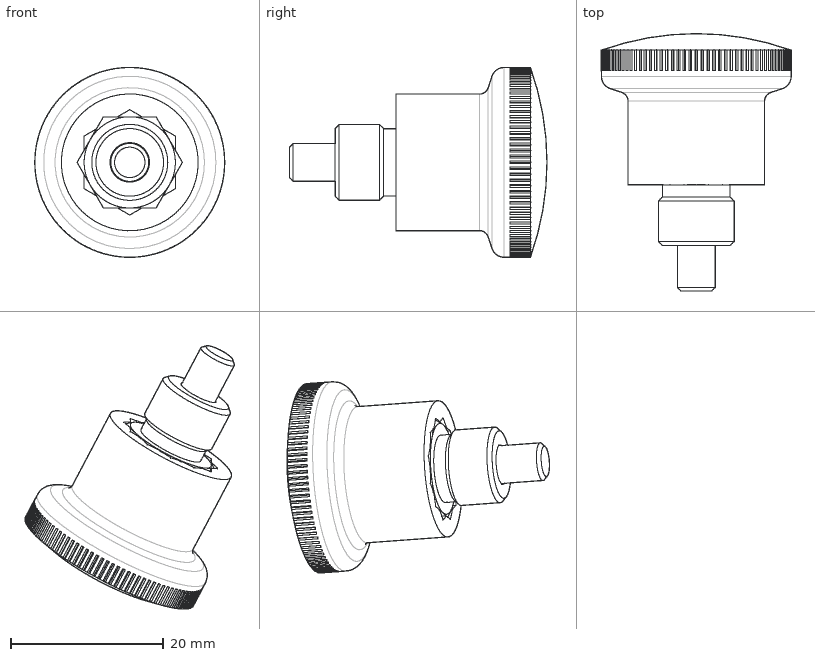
import cadquery as cq
import math


KNOB_RADIUS = 12.5
HUB_RADIUS = 9.0
DOME_HEIGHT = 2.2
APEX_Y = 19.9
RIM_TOP_Y = APEX_Y - DOME_HEIGHT
HUB_BLEND_Y = 11.0
RIM_BLEND_Y = 14.25
HUB_BLEND_RADIUS = 1.2
RIM_BLEND_RADIUS = 1.7
UNDERSIDE_SLOPE = math.radians(18.2)

GROOVE_COUNT = 100
GROOVE_WIDTH = 0.36
GROOVE_DEPTH = GROOVE_WIDTH / 2
GROOVE_LENGTH = 2.65
GROOVE_END_Y = RIM_TOP_Y - GROOVE_LENGTH

HEX_ACROSS_FLATS = 12.0
HEX_CORNER_DIAMETER = HEX_ACROSS_FLATS / math.cos(math.pi / 6)
HEX_HEIGHT = 6.0
SOCKET_TURNS = (0, 30)
HEX_CHAMFER_ANGLE = math.radians(30)

THREAD_RADIUS = 5.0
NECK_RADIUS = 4.45
THREAD_CHAMFER = THREAD_RADIUS - NECK_RADIUS
NECK_LENGTH = 1.6
SLEEVE_LENGTH = 8.0

PIN_RADIUS = 2.5
PIN_CHAMFER = 0.5
PIN_TIP_Y = -14.0
BORE_CLEARANCE = 0.1
BORE_RADIUS = PIN_RADIUS + BORE_CLEARANCE


def along_y(y):
    """Workplane across the Y axis at height y, extruding towards +Y."""
    return cq.Workplane(cq.Plane(origin=(0, y, 0), xDir=(1, 0, 0), normal=(0, 1, 0)))


def revolve_about_y(profile):
    """Turn a closed profile in the XY plane fully around the Y axis."""
    return profile.revolve(360, (0, 0, 0), (0, 1, 0))


def blend_point(center, radius, angle):
    """Point on a blend circle at the given angle from +X."""
    return (center[0] + radius * math.cos(angle), center[1] + radius * math.sin(angle))


def hex_prism(y, height, turn=0):
    """Hexagonal prism with corners on the X axis, turned by an angle in degrees."""
    prism = along_y(y).polygon(6, HEX_CORNER_DIAMETER).extrude(height)
    return prism.rotate((0, 0, 0), (0, 1, 0), turn)


def knob_blank():
    """Turned knob: hub, two blends joined by a cone, rim and domed cap."""
    hub_center = (HUB_RADIUS + HUB_BLEND_RADIUS, HUB_BLEND_Y)
    rim_center = (KNOB_RADIUS - RIM_BLEND_RADIUS, RIM_BLEND_Y)
    swing = math.pi / 2 - UNDERSIDE_SLOPE
    hub_arc = [blend_point(hub_center, HUB_BLEND_RADIUS, math.pi - swing * part) for part in (0.5, 1)]
    rim_arc = [blend_point(rim_center, RIM_BLEND_RADIUS, -swing * part) for part in (1, 0.5)]
    dome_radius = (KNOB_RADIUS**2 + DOME_HEIGHT**2) / (2 * DOME_HEIGHT)
    profile = (
        cq.Workplane("XY")
        .lineTo(HUB_RADIUS, 0)
        .lineTo(HUB_RADIUS, HUB_BLEND_Y)
        .threePointArc(*hub_arc)
        .lineTo(*rim_arc[0])
        .threePointArc(rim_arc[1], (KNOB_RADIUS, RIM_BLEND_Y))
        .lineTo(KNOB_RADIUS, RIM_TOP_Y)
        .radiusArc((0, APEX_Y), -dome_radius)
        .close()
    )
    return revolve_about_y(profile)


def knurl_grooves():
    """All V grooves of the rim, equally spaced and open towards the dome."""
    overshoot = 0.1
    outer_radius = KNOB_RADIUS + overshoot
    half_width = GROOVE_WIDTH / 2 * (GROOVE_DEPTH + overshoot) / GROOVE_DEPTH
    groove = (
        along_y(GROOVE_END_Y)
        .moveTo(0, KNOB_RADIUS - GROOVE_DEPTH)
        .lineTo(half_width, outer_radius)
        .lineTo(-half_width, outer_radius)
        .close()
        .extrude(APEX_Y - GROOVE_END_Y)
        .val()
    )
    pitch = 360 / GROOVE_COUNT
    return [groove.rotate(cq.Vector(0, 0, 0), cq.Vector(0, 1, 0), pitch * i) for i in range(GROOVE_COUNT)]


def make_knob():
    """Knurled knob with its twelve-point socket and the fixed locking pin."""
    knob = knob_blank()
    knob = cq.Workplane(knob.val().cut(*knurl_grooves()))
    for turn in SOCKET_TURNS:
        knob = knob.cut(hex_prism(0, HEX_HEIGHT, turn))
    pin = along_y(PIN_TIP_Y).circle(PIN_RADIUS).extrude(HEX_HEIGHT - PIN_TIP_Y)
    pin = pin.faces("<Y").chamfer(PIN_CHAMFER)
    return knob.union(pin)


def chamfered_collar():
    """Hexagonal collar whose corners are turned back to a cone at the end face."""
    flat_radius = HEX_ACROSS_FLATS / 2
    cone_run = HEX_HEIGHT / math.tan(HEX_CHAMFER_ANGLE)
    cone = revolve_about_y(
        cq.Workplane("XY")
        .lineTo(flat_radius, 0)
        .lineTo(flat_radius + cone_run, HEX_HEIGHT)
        .lineTo(0, HEX_HEIGHT)
        .close()
    )
    return hex_prism(0, HEX_HEIGHT).intersect(cone)


def make_sleeve():
    """Guide sleeve: hexagonal collar, neck, thread cylinder and pin bore."""
    thread_start = -NECK_LENGTH - THREAD_CHAMFER
    shank = revolve_about_y(
        cq.Workplane("XY")
        .lineTo(NECK_RADIUS, 0)
        .lineTo(NECK_RADIUS, -NECK_LENGTH)
        .lineTo(THREAD_RADIUS, thread_start)
        .lineTo(THREAD_RADIUS, -SLEEVE_LENGTH + THREAD_CHAMFER)
        .lineTo(NECK_RADIUS, -SLEEVE_LENGTH)
        .lineTo(0, -SLEEVE_LENGTH)
        .close()
    )
    bore = along_y(-SLEEVE_LENGTH).circle(BORE_RADIUS).extrude(SLEEVE_LENGTH + HEX_HEIGHT)
    return chamfered_collar().union(shank).cut(bore)


knob = make_knob()
sleeve = make_sleeve()

result = cq.Compound.makeCompound([knob.val(), sleeve.val()])